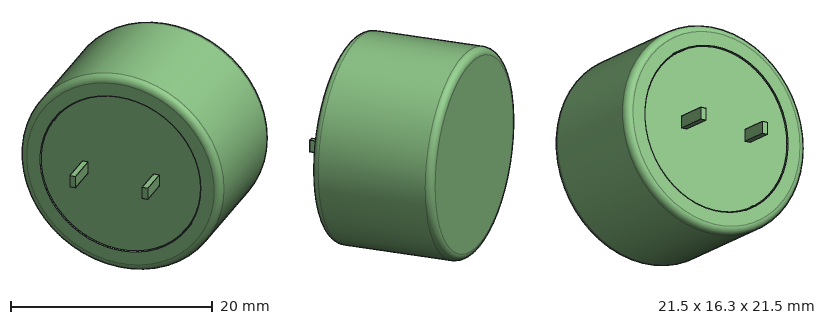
import cadquery as cq

DIAMETER = 21.5
OVERALL_DEPTH = 16.3
LONG_PIN_REACH = 3.3
SHORT_PIN_REACH = 2.97
HOUSING_DEPTH = OVERALL_DEPTH - LONG_PIN_REACH
EDGE_RADIUS = 0.75

BORE_RADIUS = 8.58
DISC_GAP = 0.09
DISC_RADIUS = BORE_RADIUS - DISC_GAP
DISC_RECESS = 0.1
DISC_THICKNESS = 1.08
BORE_DEPTH = DISC_RECESS + DISC_THICKNESS

PIN_WIDTH = 0.6
PIN_HEIGHT = 1.25
PIN_SPACING = 7.6


def cylinder(radius, front_y, depth):
    """Solid cylinder about the Y axis, running from front_y toward +Y."""
    return cq.Workplane("XZ", origin=(0, front_y, 0)).circle(radius).extrude(-depth)


def make_housing():
    """Can with rounded rims and a shallow blind bore in its front face."""
    can = cylinder(DIAMETER / 2, 0, HOUSING_DEPTH).edges().fillet(EDGE_RADIUS)
    return can.cut(cylinder(BORE_RADIUS, 0, BORE_DEPTH))


def make_disc():
    """Base disc resting on the floor of the bore."""
    return cylinder(DISC_RADIUS, DISC_RECESS, DISC_THICKNESS)


def make_pin(center_x, reach):
    """Pin standing on the disc and reaching the given distance beyond the housing."""
    length = reach + DISC_RECESS
    return (
        cq.Workplane("XZ", origin=(center_x, DISC_RECESS, 0))
        .rect(PIN_WIDTH, PIN_HEIGHT)
        .extrude(length)
    )


housing = make_housing()
disc = make_disc()
pins = [
    make_pin(side * PIN_SPACING / 2, reach)
    for side, reach in ((-1, LONG_PIN_REACH), (1, SHORT_PIN_REACH))
]

result = cq.Compound.makeCompound([housing.val(), disc.val(), *[pin.val() for pin in pins]])